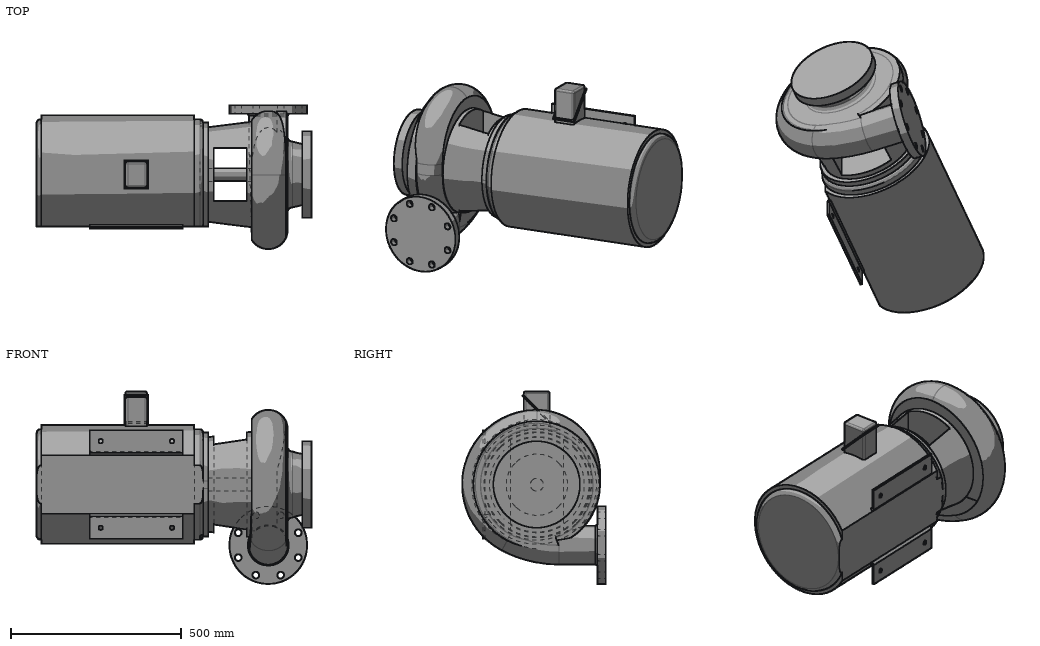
import cadquery as cq
import math


overall_length = 806.45
suction_face_x = 127.0
motor_end_x = suction_face_x - overall_length
end_bell_length = 14.7
frame_start_x = motor_end_x + end_bell_length
frame_length = 447.7
frame_end_x = frame_start_x + frame_length
drive_bell_length = 16.4
drive_bell_round = 9.5
pilot_start_x = frame_end_x + drive_bell_length + drive_bell_round
bracket_start_x = -175.6
casing_face_x = -49.0

frame_radius = 174.6
bell_radius = 162.3
end_bell_round = 12.7
pilot_radius = bell_radius - drive_bell_round
flat_y = -152.4
shaft_radius = 19.05

foot_length = 272.0
foot_center_x = -386.5
foot_thickness = 6.35
foot_embed = 3.0
foot_outer_y = -158.75
foot_inner_y = foot_outer_y + foot_thickness
foot_bend_z = 93.5
foot_tip_z = 158.75
foot_hole_diameter = 13.0
foot_hole_spacing = 209.0
foot_hole_z = 127.0

box_center_x = -387.0
box_length = 63.5
box_width = 76.2
box_top_z = 273.05
box_fillet = 6.35
lip_overhang = 3.175
lip_thickness = 4.0
lip_center_z = 220.5
lip_tilt = -45

bracket_small_radius = 139.0
bracket_large_radius = 155.0
window_start_x = -159.0
window_end_x = -63.0
window_width = 155.0

tube_radius = 57.15
discharge_z = -177.8
discharge_face_y = 203.2
discharge_flange_radius = 114.3
discharge_flange_thickness = 25.4
discharge_flare_length = 6.0
discharge_flare_height = 3.0
bolt_count = 8
bolt_circle_radius = 95.25
bolt_hole_diameter = 19.05
main_outer_radius = 218.96
top_outer_radius = 186.15
main_arc_radius = main_outer_radius - tube_radius
top_arc_radius = top_outer_radius - tube_radius
tongue_center_y = 10.0
tongue_end_angle = math.radians(-75)
pipe_end_y = 64.0
cover_radius = 185.5
cover_start_x = 25.0
cover_edge_x = 53.0
cover_face_radius = 165.0
ramp_start_y = -170.0
ramp_end_x = -56.6
ramp_top_z = -88.0

neck_fillet = 13.0
neck_root_radius = 97.0
neck_tip_radius = 90.0
suction_flange_radius = 127.0
suction_flange_thickness = 27.9


def cylinder_x(radius, start_x, end_x):
    """Solid cylinder on the motor axis between two X stations."""
    return cq.Workplane("YZ").workplane(offset=start_x).circle(radius).extrude(end_x - start_x)


def block(x_range, y_range, z_range):
    """Box given by its limits along each axis."""
    lows, highs = zip(x_range, y_range, z_range)
    sizes = [high - low for low, high in zip(lows, highs)]
    return cq.Workplane("XY").box(*sizes, centered=False).translate(lows)


def make_motor_frame():
    """Turned motor outline with one flat side."""
    round_mid = math.sqrt(0.5)
    end_face_radius = bell_radius - end_bell_round
    drive_round_x = frame_end_x + drive_bell_length
    frame = (
        cq.Workplane("XY")
        .moveTo(motor_end_x, 0)
        .lineTo(motor_end_x, end_face_radius)
        .threePointArc(
            (
                motor_end_x + end_bell_round * (1 - round_mid),
                end_face_radius + end_bell_round * round_mid,
            ),
            (motor_end_x + end_bell_round, bell_radius),
        )
        .lineTo(frame_start_x, bell_radius)
        .lineTo(frame_start_x, frame_radius)
        .lineTo(frame_end_x, frame_radius)
        .lineTo(frame_end_x, bell_radius)
        .lineTo(drive_round_x, bell_radius)
        .threePointArc(
            (
                drive_round_x + drive_bell_round * round_mid,
                pilot_radius + drive_bell_round * round_mid,
            ),
            (pilot_start_x, pilot_radius),
        )
        .lineTo(bracket_start_x, pilot_radius)
        .lineTo(bracket_start_x, 0)
        .close()
        .revolve(360, (0, 0, 0), (1, 0, 0))
    )
    beyond_flat = block(
        (motor_end_x, bracket_start_x),
        (-frame_radius, flat_y),
        (-frame_radius, frame_radius),
    )
    return frame.cut(beyond_flat)


def make_foot():
    """Upper foot: a flat plate whose inner edge bends back to the corner of the frame's flat."""
    corner_z = math.sqrt(frame_radius**2 - flat_y**2)
    root_z = foot_bend_z
    root_y = -math.sqrt((frame_radius - foot_embed) ** 2 - root_z**2)
    plate_root_z = foot_bend_z + foot_thickness / 2
    outline = [
        (foot_outer_y, foot_tip_z),
        (foot_outer_y, foot_bend_z),
        (flat_y, corner_z),
        (root_y, root_z),
        (foot_inner_y, plate_root_z),
        (foot_inner_y, foot_tip_z),
    ]
    plate = (
        cq.Workplane("YZ")
        .workplane(offset=foot_center_x - foot_length / 2)
        .polyline(outline)
        .close()
        .extrude(foot_length)
    )
    for side in (-1, 1):
        hole_x = foot_center_x + side * foot_hole_spacing / 2
        hole = (
            cq.Workplane("XZ", origin=(hole_x, foot_inner_y, foot_hole_z))
            .circle(foot_hole_diameter / 2)
            .extrude(foot_thickness)
        )
        plate = plate.cut(hole)
    return plate


def make_terminal_box():
    """Rounded box standing on the frame, with a thin lip along its diagonal parting plane."""
    box = (
        cq.Workplane("XY")
        .box(box_length, box_width, box_top_z, centered=(True, True, False))
        .edges("|Z or >Z")
        .fillet(box_fillet)
        .translate((box_center_x, 0, 0))
    )
    lip_span = box_width * math.sqrt(2) + 2 * lip_overhang
    lip = (
        cq.Workplane("XY")
        .box(box_length + 2 * lip_overhang, lip_span, lip_thickness)
        .rotate((0, 0, 0), (1, 0, 0), lip_tilt)
        .translate((box_center_x, 0, lip_center_z))
    )
    return box.union(lip)


def make_motor():
    motor = make_motor_frame().union(make_terminal_box())
    upper_foot = make_foot()
    for foot in (upper_foot, upper_foot.mirror("XY")):
        motor = motor.union(foot)
    shaft = cylinder_x(shaft_radius, bracket_start_x, casing_face_x)
    return motor.union(shaft)


def make_bracket():
    cone = (
        cq.Workplane("YZ")
        .workplane(offset=bracket_start_x)
        .circle(bracket_small_radius)
        .workplane(offset=casing_face_x - bracket_start_x)
        .circle(bracket_large_radius)
        .loft(ruled=True)
    )
    window = block(
        (window_start_x, window_end_x),
        (-window_width / 2, window_width / 2),
        (-bracket_large_radius, bracket_large_radius),
    )
    shaft_bore = cylinder_x(shaft_radius, bracket_start_x, casing_face_x)
    return cone.cut(window).cut(shaft_bore)


def arc_edge(center, radius, start_angle, end_angle):
    """Arc in the YZ plane, given by its center and angles measured from +Y toward +Z."""
    angles = (start_angle, (start_angle + end_angle) / 2, end_angle)
    points = [
        cq.Vector(0, center[0] + radius * math.cos(a), center[1] + radius * math.sin(a))
        for a in angles
    ]
    return cq.Edge.makeThreePointArc(*points)


def make_spiral_path():
    """Center line of the volute from the discharge pipe around to the tongue, piece by piece."""
    pipe_drop = -discharge_z
    entry_radius = (pipe_end_y**2 + pipe_drop**2 - main_arc_radius**2) / (2 * (pipe_drop - main_arc_radius))
    entry_center = (pipe_end_y, discharge_z + entry_radius)
    join_angle = math.atan2(-entry_center[1], -entry_center[0])
    top_center_z = main_arc_radius - top_arc_radius
    tongue_radius = top_arc_radius - tongue_center_y
    return [
        arc_edge(entry_center, entry_radius, -math.pi / 2, join_angle),
        arc_edge((0, 0), main_arc_radius, join_angle, -3 * math.pi / 2),
        arc_edge((0, top_center_z), top_arc_radius, math.pi / 2, 0),
        cq.Edge.makeLine(cq.Vector(0, top_arc_radius, top_center_z), cq.Vector(0, top_arc_radius, 0)),
        arc_edge((tongue_center_y, 0), tongue_radius, 0, tongue_end_angle),
    ]


def make_spiral():
    """Round tube along the spiral, with the space it encloses filled up to its far side."""
    path = make_spiral_path()
    closing_edge = cq.Edge.makeLine(path[-1].endPoint(), path[0].startPoint())
    enclosed = cq.Wire.assembleEdges(path + [closing_edge])
    filling = cq.Solid.extrudeLinear(enclosed, [], cq.Vector(2 * tube_radius, 0, 0))
    spiral = cq.Workplane(filling).translate((-tube_radius, 0, 0))
    for edge in path:
        section = cq.Plane(edge.startPoint(), (1, 0, 0), edge.tangentAt(0))
        tube = cq.Workplane(section).circle(tube_radius).sweep(cq.Workplane(edge))
        spiral = spiral.union(tube)
    return spiral


def make_discharge():
    """Straight pipe along +Y with a flared root at its drilled flange."""
    flange_back_y = discharge_face_y - discharge_flange_thickness
    flare_start_y = flange_back_y - discharge_flare_length
    nozzle = (
        cq.Workplane("XY")
        .moveTo(0, pipe_end_y)
        .lineTo(tube_radius, pipe_end_y)
        .lineTo(tube_radius, flare_start_y)
        .lineTo(tube_radius + discharge_flare_height, flange_back_y)
        .lineTo(discharge_flange_radius, flange_back_y)
        .lineTo(discharge_flange_radius, discharge_face_y)
        .lineTo(0, discharge_face_y)
        .close()
        .revolve(360, (0, 0, 0), (0, 1, 0))
    )
    bolt_holes = (
        cq.Workplane("XZ", origin=(0, discharge_face_y, 0))
        .polarArray(bolt_circle_radius, 180 / bolt_count, 360, bolt_count)
        .circle(bolt_hole_diameter / 2)
        .extrude(discharge_flange_thickness)
    )
    return nozzle.cut(bolt_holes).translate((0, 0, discharge_z))


def make_motor_side_cut():
    """Space removed on the motor side: a flat face, and below it a ramp fading out toward the pipe."""
    far = 2 * discharge_flange_radius
    pipe_root_y = discharge_face_y - discharge_flange_thickness - discharge_flare_length
    flat = block((-far, casing_face_x), (-far, pipe_root_y), (ramp_top_z, far))
    ramp = (
        cq.Workplane("XY", origin=(0, 0, -far - tube_radius))
        .moveTo(-far, -far)
        .lineTo(casing_face_x, -far)
        .lineTo(casing_face_x, ramp_start_y)
        .lineTo(ramp_end_x, pipe_end_y)
        .lineTo(ramp_end_x, pipe_root_y)
        .lineTo(-far, pipe_root_y)
        .close()
        .extrude(far + tube_radius + ramp_top_z)
    )
    return flat.union(ramp)


def make_cover():
    """Round cover on the suction side of the volute, with a beveled rim."""
    return (
        cq.Workplane("XY")
        .moveTo(cover_start_x, 0)
        .lineTo(cover_start_x, cover_radius)
        .lineTo(cover_edge_x, cover_radius)
        .lineTo(tube_radius, cover_face_radius)
        .lineTo(tube_radius, 0)
        .close()
        .revolve(360, (0, 0, 0), (1, 0, 0))
    )


def make_suction():
    """Tapered neck with a filleted root and a plain flange, on the shaft axis."""
    neck_x = tube_radius + neck_fillet
    flange_x = suction_face_x - suction_flange_thickness
    fillet_mid = neck_fillet * (1 - math.sqrt(0.5))
    return (
        cq.Workplane("XY")
        .moveTo(0, 0)
        .lineTo(0, neck_root_radius + neck_fillet)
        .lineTo(tube_radius, neck_root_radius + neck_fillet)
        .threePointArc((tube_radius + fillet_mid, neck_root_radius + fillet_mid), (neck_x, neck_root_radius))
        .lineTo(flange_x, neck_tip_radius)
        .lineTo(flange_x, suction_flange_radius)
        .lineTo(suction_face_x, suction_flange_radius)
        .lineTo(suction_face_x, 0)
        .close()
        .revolve(360, (0, 0, 0), (1, 0, 0))
    )


def make_casing():
    casing = make_spiral().union(make_discharge()).cut(make_motor_side_cut())
    bracket_recess = cylinder_x(bracket_large_radius, -tube_radius, casing_face_x)
    seat = cylinder_x(bracket_large_radius, casing_face_x, 0)
    return casing.cut(bracket_recess).union(seat).union(make_cover()).union(make_suction())


motor = make_motor()
bracket = make_bracket()
casing = make_casing()

result = cq.Compound.makeCompound([body.solids().val() for body in (motor, bracket, casing)])